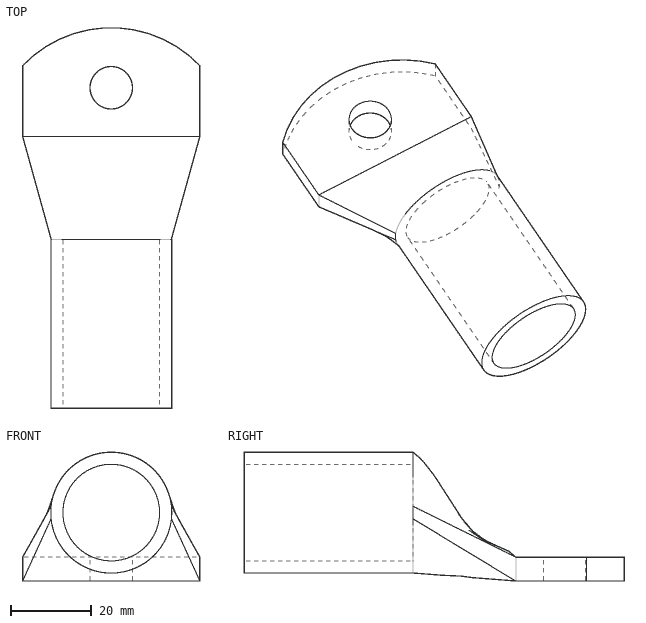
import cadquery as cq

length = 94.5
width = 44.0
height = 32.0

tube_diameter = 30.05
bore_diameter = 24.0
tube_length = 42.0
axis_height = height - tube_diameter / 2

lug_thickness = 6.0
lug_start = 67.5
shoulder_end = 85.05
hole_diameter = 10.5
hole_end_distance = 14.9

flank_height_at_tube = 3.1
crest_points = [(47.25, 26.2), (51.1, 20.0), (55.6, 13.7), (60.0, 10.0)]


def make_tube():
    """Round barrel from Y = 0 to the start of the transition."""
    return (
        cq.Workplane("XZ", origin=(0, 0, axis_height))
        .circle(tube_diameter / 2)
        .extrude(-tube_length)
    )


def blend(start, end, fraction):
    """Value at a fraction of the straight way from start to end."""
    return start + (end - start) * fraction


def transition_section(y, crest):
    """Wire across the transition at y: arched top, straight flanks, arched bottom."""
    fraction = (y - tube_length) / (lug_start - tube_length)
    tube_radius = tube_diameter / 2
    half_flank = flank_height_at_tube / 2
    tube_half_width = (tube_radius**2 - half_flank**2) ** 0.5

    half_width = blend(tube_half_width, width / 2, fraction)
    flank_top = blend(axis_height + half_flank, lug_thickness, fraction)
    flank_bottom = blend(axis_height - half_flank, 0, fraction)
    belly = blend(axis_height - tube_radius, 0, fraction)

    section = cq.Workplane("XZ", origin=(0, y, 0)).moveTo(-half_width, flank_top)
    if y == lug_start:
        section = section.lineTo(half_width, flank_top)
        section = section.lineTo(half_width, flank_bottom)
        section = section.lineTo(-half_width, flank_bottom)
    else:
        section = section.threePointArc((0, crest), (half_width, flank_top))
        section = section.lineTo(half_width, flank_bottom)
        section = section.threePointArc((0, belly), (-half_width, flank_bottom))
    return section.close().val()


def make_transition():
    """Smooth skin from the round barrel to the rectangular lug section."""
    crest_line = [(tube_length, height), *crest_points, (lug_start, lug_thickness)]
    sections = [transition_section(y, crest) for y, crest in crest_line]
    return cq.Workplane(cq.Solid.makeLoft(sections))


def make_lug():
    """Flat plate with straight sides and an arched far end."""
    return (
        cq.Workplane("XY")
        .moveTo(-width / 2, lug_start)
        .lineTo(width / 2, lug_start)
        .lineTo(width / 2, shoulder_end)
        .threePointArc((0, length), (-width / 2, shoulder_end))
        .close()
        .extrude(lug_thickness)
    )


bore = (
    cq.Workplane("XZ", origin=(0, 0, axis_height))
    .circle(bore_diameter / 2)
    .extrude(-tube_length)
)

bolt_hole = (
    cq.Workplane("XY")
    .center(0, length - hole_end_distance)
    .circle(hole_diameter / 2)
    .extrude(lug_thickness)
)

result = make_tube().union(make_transition()).union(make_lug()).cut(bore).cut(bolt_hole)